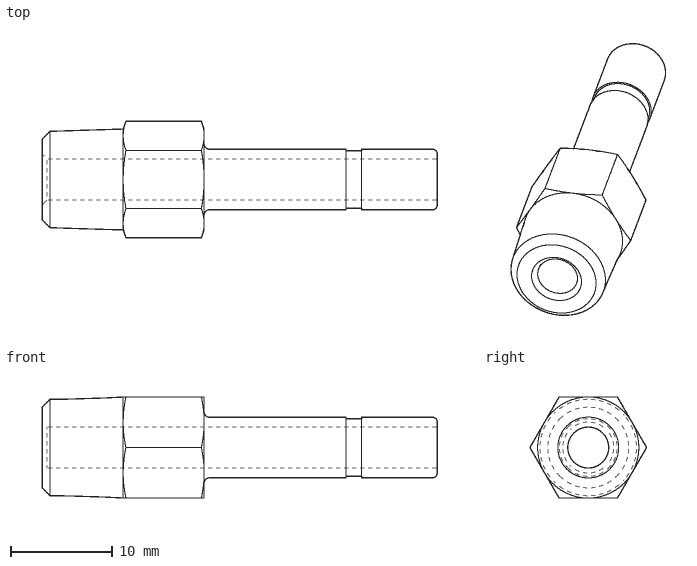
import cadquery as cq
import math

total_length = 39.0
hex_start = 8.0
hex_length = 8.0
hex_end = hex_start + hex_length
groove_start = 30.0
groove_width = 1.52

hex_across_flats = 10.0
taper_ratio = 1 / 16
taper_end_radius = hex_across_flats / 2
lead_chamfer = 0.78

hex_across_corners = hex_across_flats / math.cos(math.radians(30))
corner_chamfer_length = 0.27

stem_diameter = 6.0
groove_diameter = 5.7
stem_root_fillet = 0.5
stem_end_fillet = 0.5

bore_diameter = 4.0
countersink_diameter = 5.05


def turn(profile):
    """Revolve a closed half profile a full turn about the X axis."""
    return profile.revolve(360, (0, 0), (1, 0))


def tapered_end():
    """Cone that narrows toward -X, with a 45 degree lead chamfer at its tip."""
    small_radius = taper_end_radius - (hex_start - lead_chamfer) * taper_ratio / 2
    profile = (
        cq.Workplane("XY")
        .lineTo(0, small_radius - lead_chamfer)
        .lineTo(lead_chamfer, small_radius)
        .lineTo(hex_start, taper_end_radius)
        .lineTo(hex_start, 0)
        .close()
    )
    return turn(profile)


def hexagon():
    """Hexagon with flats on +Z and -Z and its corners chamfered at both ends."""
    prism = (
        cq.Workplane("YZ", origin=(hex_start, 0, 0))
        .polygon(6, hex_across_corners)
        .extrude(hex_length)
    )
    face_radius = hex_across_flats / 2
    corner_radius = hex_across_corners / 2
    envelope_profile = (
        cq.Workplane("XY")
        .moveTo(hex_start, 0)
        .lineTo(hex_start, face_radius)
        .lineTo(hex_start + corner_chamfer_length, corner_radius)
        .lineTo(hex_end - corner_chamfer_length, corner_radius)
        .lineTo(hex_end, face_radius)
        .lineTo(hex_end, 0)
        .close()
    )
    return prism.intersect(turn(envelope_profile))


def stem():
    """Tube stem with a filleted root, a shallow groove and a rounded end."""
    stem_radius = stem_diameter / 2
    groove_radius = groove_diameter / 2
    groove_end = groove_start + groove_width
    profile = (
        cq.Workplane("XY")
        .moveTo(hex_end, 0)
        .lineTo(hex_end, stem_radius + stem_root_fillet)
        .radiusArc((hex_end + stem_root_fillet, stem_radius), -stem_root_fillet)
        .lineTo(groove_start, stem_radius)
        .lineTo(groove_start, groove_radius)
        .lineTo(groove_end, groove_radius)
        .lineTo(groove_end, stem_radius)
        .lineTo(total_length - stem_end_fillet, stem_radius)
        .radiusArc((total_length, stem_radius - stem_end_fillet), stem_end_fillet)
        .lineTo(total_length, 0)
        .close()
    )
    return turn(profile)


def bore():
    """Through bore with a 45 degree countersink at the threaded end."""
    bore_radius = bore_diameter / 2
    countersink_radius = countersink_diameter / 2
    countersink_depth = countersink_radius - bore_radius
    profile = (
        cq.Workplane("XY")
        .lineTo(0, countersink_radius)
        .lineTo(countersink_depth, bore_radius)
        .lineTo(total_length, bore_radius)
        .lineTo(total_length, 0)
        .close()
    )
    return turn(profile)


result = tapered_end().union(hexagon()).union(stem()).cut(bore())